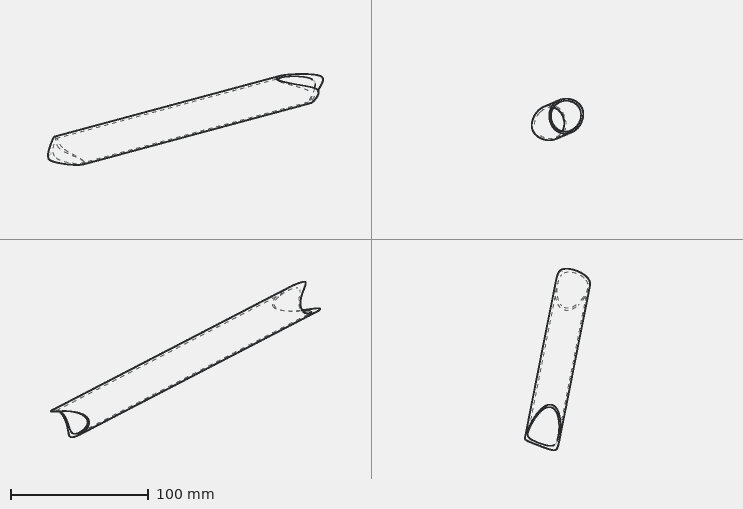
import cadquery as cq

tube_axis = cq.Vector(100, 36.5, 38.8).normalized()
tube_diameter = 25.0
tube_radius = tube_diameter / 2
wall = 1.5
blank_length = 301.7

lower_mate_axis = cq.Vector(1, -0.08, -0.64)
lower_half_width = 13.5
lower_half_depth = 15.0
lower_mate_station = -109.5
lower_mate_offset = 0.5

upper_mate_axis = cq.Vector(1, 0.04, -0.60)
upper_half_width = 13.4
upper_half_depth = 24.9
upper_mate_station = 112.4
upper_mate_offset = 0.0

cutter_length = 226.3
cutter_reach = 150.9
cutter_width = 2 * tube_diameter


def blank_cylinder(radius):
    """Cylinder along the brace axis, centred on the origin."""
    start = tube_axis * (-blank_length / 2)
    return cq.Workplane(cq.Solid.makeCylinder(radius, blank_length, start, tube_axis))


def cope_cutter(mate_axis, half_width, half_depth, station, offset):
    """Oval mating tube, plus everything further out than the plane through its axis."""
    sideways = tube_axis.cross(mate_axis).normalized()
    outward = mate_axis.cross(sideways).normalized()
    if outward.dot(tube_axis) * station < 0:
        outward = outward * -1
    crossing = tube_axis * station + sideways * offset
    plane = cq.Plane(origin=crossing, xDir=outward, normal=mate_axis)
    mate = cq.Workplane(plane).ellipse(half_depth, half_width).extrude(cutter_length / 2, both=True)
    beyond = (
        cq.Workplane(plane)
        .center(cutter_reach / 2, 0)
        .rect(cutter_reach, cutter_width)
        .extrude(cutter_length / 2, both=True)
    )
    return mate.union(beyond)


tube = blank_cylinder(tube_radius).cut(blank_cylinder(tube_radius - wall))

lower_cope = cope_cutter(
    lower_mate_axis, lower_half_width, lower_half_depth, lower_mate_station, lower_mate_offset
)
upper_cope = cope_cutter(
    upper_mate_axis, upper_half_width, upper_half_depth, upper_mate_station, upper_mate_offset
)

result = tube.cut(lower_cope).cut(upper_cope)